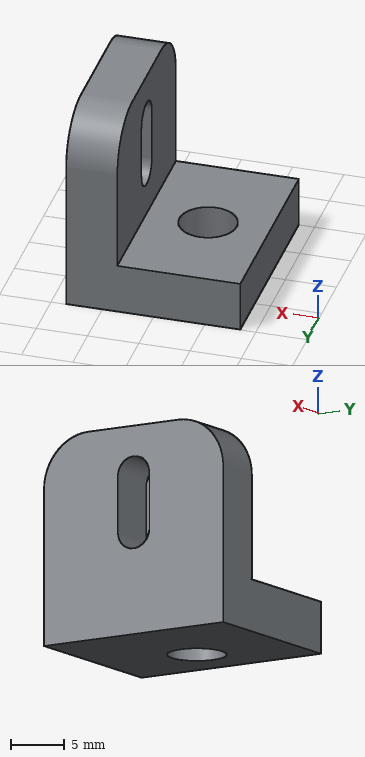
import cadquery as cq

length = 17.0
width = 20.0
height = 20.0
thickness = 5.0
corner_radius = 5.0

base_hole_diameter = 5.6
base_hole_x = (length - thickness) / 2

slot_width = 3.5
slot_length = 8.85
slot_center_z = 12.65


def make_base():
    plate = cq.Workplane("XY").box(length, width, thickness, centered=(False, True, False))
    hole = cq.Workplane("XY").center(base_hole_x, 0).circle(base_hole_diameter / 2).extrude(thickness)
    return plate.cut(hole)


def make_upright():
    plate = (
        cq.Workplane("XY")
        .box(thickness, width, height, centered=(False, True, False))
        .edges("|X and >Z")
        .fillet(corner_radius)
    )
    slot = (
        cq.Workplane("YZ")
        .center(0, slot_center_z)
        .slot2D(slot_length, slot_width, 90)
        .extrude(thickness)
    )
    return plate.cut(slot).translate((length - thickness, 0, 0))


result = make_base().union(make_upright())